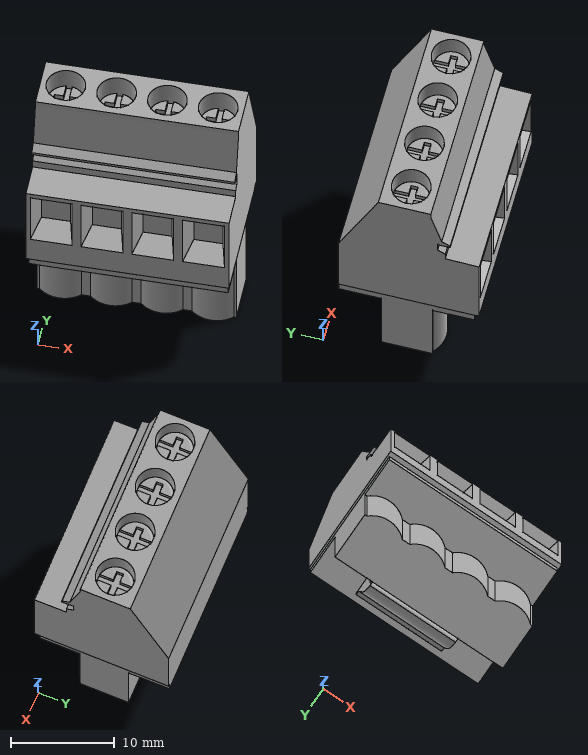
import cadquery as cq


POLES = 4
PITCH = 5.0
POLE_XS = [(i - (POLES - 1) / 2) * PITCH for i in range(POLES)]

LENGTH = 20.0
DEPTH = 14.1
HEIGHT = 27.3
BODY_BOTTOM = 9.7
BACK_SLOPE_START = 17.53
SHELF_FRONT_Z = 19.25
SHELF_BACK_Z = 19.35
TOP_FRONT_Y = 4.83
TOP_BACK_Y = 10.07
TOP_LIP_Z = 26.7

GROOVE_FRONT_Y = 3.39
GROOVE_BACK_Y = 4.15
GROOVE_STEP_Z = 20.23
GROOVE_BOTTOM_Z = 20.72
GROOVE_TOP_Z = 21.73
LIP_TIP_Y = 2.9
LIP_TIP_Z = 22.0
LIP_ROOT_Y = 3.75
LIP_ROOT_Z = 22.5

BASE_BOTTOM = 8.4
BASE_FRONT_Y = 0.52
BASE_LENGTH = 19.63
PLUG_FRONT_Y = 4.72
PLUG_BACK_Y = 9.83
BULGE_WIDTH = 4.12
BULGE_HEIGHT = 0.82

ENTRY_WIDTH = 4.12
ENTRY_BOTTOM = 12.6
ENTRY_TOP = 18.7
ENTRY_DEPTH = 2.45
ENTRY_INSET = 0.63

HOLE_RADIUS = 1.9
SCREW_GAP = 0.08
SCREW_RADIUS = HOLE_RADIUS - SCREW_GAP
SCREW_Y = (TOP_FRONT_Y + TOP_BACK_Y) / 2
SCREW_TOP = 25.3
SCREW_HEIGHT = 2.73
SCREW_ROUND = 0.33
SLOT_DEPTH = 0.55
SLOT_WIDTH = 0.6
CROSS_SLOT_LENGTH = 2.4
CROSS_SLOT_WIDTH = 0.68

LATCH_LENGTH = 2 * PITCH
LATCH_BACK_ROOT = (13.3, BASE_BOTTOM)
LATCH_BACK_HEEL = (13.3, 7.92)
LATCH_BACK_NECK = (12.8, 7.55)
LATCH_BACK_BEND = (12.12, 4.85)
LATCH_BACK_CURVE = (11.6, 3.9)
LATCH_TIP_BOTTOM = (10.9, 3.25)
LATCH_TIP_NOSE = (10.43, 3.6)
LATCH_TIP_TOP = (10.5, 4.2)
LATCH_FRONT_HOOK = (10.92, 4.6)
LATCH_FRONT_BEND = (10.95, 6.75)
LATCH_FRONT_CURVE = (10.75, 7.62)
LATCH_FRONT_ROOT = (10.4, BASE_BOTTOM)


def prism_along_x(outline, length):
    """Extrude a closed (Y, Z) sketch symmetrically about X = 0."""
    return outline.close().extrude(length / 2, both=True)


def main_block():
    outline = cq.Workplane("YZ").polyline([
        (0, BODY_BOTTOM),
        (DEPTH, BODY_BOTTOM),
        (DEPTH, BACK_SLOPE_START),
        (TOP_BACK_Y, HEIGHT),
        (TOP_FRONT_Y, HEIGHT),
        (TOP_FRONT_Y, TOP_LIP_Z),
        (LIP_ROOT_Y, LIP_ROOT_Z),
        (LIP_TIP_Y, LIP_TIP_Z),
        (LIP_TIP_Y, GROOVE_TOP_Z),
        (GROOVE_BACK_Y, GROOVE_TOP_Z),
        (GROOVE_BACK_Y, GROOVE_BOTTOM_Z),
        (GROOVE_FRONT_Y, GROOVE_STEP_Z),
        (GROOVE_FRONT_Y, SHELF_BACK_Z),
        (0, SHELF_FRONT_Z),
    ])
    return prism_along_x(outline, LENGTH)


def base_plate():
    return cq.Workplane("XY").box(
        BASE_LENGTH, DEPTH - BASE_FRONT_Y, BODY_BOTTOM - BASE_BOTTOM, centered=(True, False, False)
    ).translate((0, BASE_FRONT_Y, BASE_BOTTOM))


def plug():
    """Plug block whose front face bulges out in an arc at each pole."""
    half_length = BASE_LENGTH / 2
    outline = cq.Workplane("XY").moveTo(-half_length, PLUG_BACK_Y).lineTo(-half_length, PLUG_FRONT_Y)
    for x in POLE_XS:
        outline = outline.lineTo(x - BULGE_WIDTH / 2, PLUG_FRONT_Y)
        outline = outline.threePointArc(
            (x, PLUG_FRONT_Y - BULGE_HEIGHT), (x + BULGE_WIDTH / 2, PLUG_FRONT_Y)
        )
    outline = outline.lineTo(half_length, PLUG_FRONT_Y).lineTo(half_length, PLUG_BACK_Y)
    return outline.close().extrude(BASE_BOTTOM)


def latch():
    """Curved hook hanging from the base plate, with a rounded tip."""
    outline = (
        cq.Workplane("YZ")
        .moveTo(*LATCH_BACK_ROOT)
        .lineTo(*LATCH_BACK_HEEL)
        .lineTo(*LATCH_BACK_NECK)
        .lineTo(*LATCH_BACK_BEND)
        .threePointArc(LATCH_BACK_CURVE, LATCH_TIP_BOTTOM)
        .threePointArc(LATCH_TIP_NOSE, LATCH_TIP_TOP)
        .lineTo(*LATCH_FRONT_HOOK)
        .lineTo(*LATCH_FRONT_BEND)
        .threePointArc(LATCH_FRONT_CURVE, LATCH_FRONT_ROOT)
    )
    return prism_along_x(outline, LATCH_LENGTH)


def wire_entry(x):
    """Rectangular funnel narrowing from the front face inward."""
    entry_height = ENTRY_TOP - ENTRY_BOTTOM
    return (
        cq.Workplane("XZ", origin=(x, 0, (ENTRY_BOTTOM + ENTRY_TOP) / 2))
        .rect(ENTRY_WIDTH, entry_height)
        .workplane(offset=-ENTRY_DEPTH)
        .rect(ENTRY_WIDTH - 2 * ENTRY_INSET, entry_height - 2 * ENTRY_INSET)
        .loft(ruled=True)
    )


def screw_hole(x):
    """Blind hole whose floor carries the screw."""
    floor = SCREW_TOP - SCREW_HEIGHT
    return cq.Workplane("XY", origin=(x, SCREW_Y, floor)).circle(HOLE_RADIUS).extrude(HEIGHT - floor)


def make_housing():
    body = main_block().union(base_plate()).union(plug()).union(latch())
    for x in POLE_XS:
        body = body.cut(wire_entry(x)).cut(screw_hole(x))
    return body


def make_screw(x):
    """Round-edged screw with a full-width slot and a shorter cross slot."""
    head = (
        cq.Workplane("XY", origin=(x, SCREW_Y, SCREW_TOP))
        .circle(SCREW_RADIUS)
        .extrude(-SCREW_HEIGHT)
        .faces(">Z")
        .edges()
        .fillet(SCREW_ROUND)
    )
    slots = cq.Workplane("XY", origin=(x, SCREW_Y, SCREW_TOP))
    main_slot = slots.rect(SLOT_WIDTH, 2 * SCREW_RADIUS).extrude(-SLOT_DEPTH)
    cross_slot = slots.rect(CROSS_SLOT_LENGTH, CROSS_SLOT_WIDTH).extrude(-SLOT_DEPTH)
    return head.cut(main_slot).cut(cross_slot)


housing = make_housing()
screws = [make_screw(x) for x in POLE_XS]

result = cq.Compound.makeCompound([housing.val(), *[screw.val() for screw in screws]])